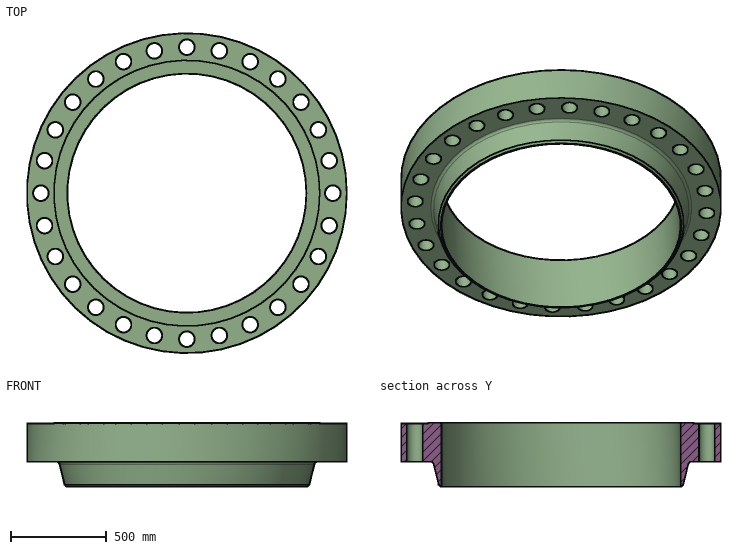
import cadquery as cq

flange_diameter = 1670.0
flange_thickness = 200.0
bore_diameter = 1246.0

face_diameter = 1386.0
face_height = 5.0

total_height = 335.0
hub_top_diameter = 1338.0
hub_shoulder_diameter = 1280.0
hub_end_diameter = 1256.0
bevel_height = 12.0
root_fillet = 15.0

bolt_count = 28
bolt_circle_diameter = 1523.0
bolt_hole_diameter = 80.0

face_z = total_height
flange_top_z = face_z - face_height
flange_bottom_z = flange_top_z - flange_thickness

bore_radius = bore_diameter / 2
flange_radius = flange_diameter / 2
face_radius = face_diameter / 2
body = (
    cq.Workplane("XZ")
    .moveTo(bore_radius, 0)
    .lineTo(hub_end_diameter / 2, 0)
    .lineTo(hub_shoulder_diameter / 2, bevel_height)
    .lineTo(hub_top_diameter / 2, flange_bottom_z)
    .lineTo(flange_radius, flange_bottom_z)
    .lineTo(flange_radius, flange_top_z)
    .lineTo(face_radius, flange_top_z)
    .lineTo(face_radius, face_z)
    .lineTo(bore_radius, face_z)
    .close()
    .revolve(360, (0, 0, 0), (0, 1, 0))
)

flange_underside = body.faces(cq.selectors.NearestToPointSelector((0, 0, flange_bottom_z)))
root_edge = flange_underside.edges(cq.selectors.RadiusNthSelector(0))
body = root_edge.fillet(root_fillet)

bolt_holes = (
    cq.Workplane("XY")
    .polarArray(bolt_circle_diameter / 2, 0, 360, bolt_count)
    .circle(bolt_hole_diameter / 2)
    .extrude(total_height)
)

result = body.cut(bolt_holes)